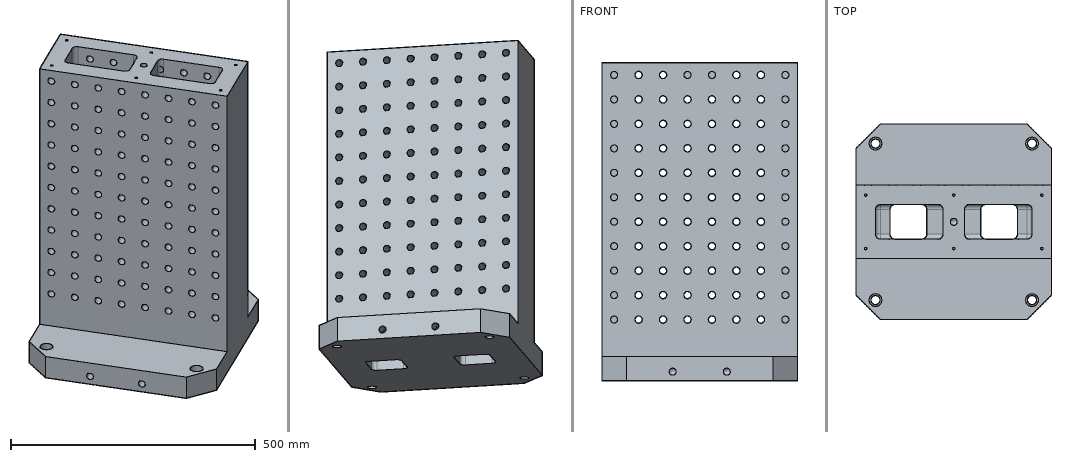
import cadquery as cq
import math

plate_size = 400.0
plate_height = 50.0
plate_chamfer = 50.0

bolt_offset = 160.0
bolt_diameter = 18.0
counterbore_diameter = 26.0
counterbore_depth = 18.0

tap_diameter = 14.0
tap_depth = 30.0
drill_point_angle = 118
lifting_hole_offset = 55.0
lifting_hole_height = 19.0

total_height = 650.0
column_depth = 150.0

cavity_depth = 70.0
cavity_radius = 10.0
cavity_floor = plate_height
mouth_inner_x = 22.0
mouth_outer_x = 160.0
bridge_height = 45.0
cavity_ceiling = total_height - bridge_height

window_inner_x = 55.0
window_outer_x = 130.0

grid_columns = 8
grid_rows = 11
grid_pitch = plate_size / grid_columns
grid_top_margin = grid_pitch / 2
grid_hole_depth = (column_depth - cavity_depth) / 2

pin_diameter = 5.0
pin_depth = 13.0
pin_offset_x = 180.0
pin_offset_y = 54.5


def block(x_start, x_end, depth, z_start, z_end):
    """Sharp-edged box, centred on Y."""
    base = cq.Workplane("XY", origin=((x_start + x_end) / 2, 0, z_start))
    return base.rect(abs(x_end - x_start), depth).extrude(z_end - z_start)


def tapped_hole(start, direction):
    """Blind hole with a conical drill point, to be cut from the body."""
    radius = tap_diameter / 2
    point_length = radius / math.tan(math.radians(drill_point_angle / 2))
    start = cq.Vector(*start)
    direction = cq.Vector(*direction)
    point_start = start + direction * tap_depth
    shaft = cq.Solid.makeCylinder(radius, tap_depth, start, direction)
    point = cq.Solid.makeCone(radius, 0, point_length, point_start, direction)
    return cq.Workplane(shaft.fuse(point))


def make_body():
    half = plate_size / 2
    plate = block(-half, half, plate_size, 0, plate_height)
    column = block(-half, half, column_depth, 0, total_height)
    return plate.edges("|Z").chamfer(plate_chamfer).union(column)


def cut_cavity(body):
    chamber = block(-mouth_outer_x, mouth_outer_x, cavity_depth, cavity_floor, cavity_ceiling)
    body = body.cut(chamber.edges().fillet(cavity_radius))

    mouth_bottom = cavity_ceiling - cavity_radius
    window_top = cavity_floor + cavity_radius
    for side in (-1, 1):
        mouth = block(side * mouth_inner_x, side * mouth_outer_x, cavity_depth, mouth_bottom, total_height)
        window = block(side * window_inner_x, side * window_outer_x, cavity_depth, 0, window_top)
        for opening in (mouth, window):
            body = body.cut(opening.edges("|Z").fillet(cavity_radius))
    return body


def cut_bolt_holes(body):
    centres = cq.Workplane("XY").rarray(2 * bolt_offset, 2 * bolt_offset, 2, 2)
    shafts = centres.circle(bolt_diameter / 2).extrude(plate_height)
    counterbores = centres.circle(counterbore_diameter / 2).extrude(counterbore_depth)
    counterbores = counterbores.translate((0, 0, plate_height - counterbore_depth))
    return body.cut(shafts).cut(counterbores)


def cut_lifting_holes(body):
    for side in (-1, 1):
        for x in (-lifting_hole_offset, lifting_hole_offset):
            start = (x, side * plate_size / 2, lifting_hole_height)
            body = body.cut(tapped_hole(start, (0, -side, 0)))
    return body


def cut_grid_holes(body):
    grid_centre_z = total_height - grid_top_margin - (grid_rows - 1) * grid_pitch / 2
    for side in (-1, 1):
        face = cq.Workplane("XZ", origin=(0, side * column_depth / 2, grid_centre_z))
        centres = face.rarray(grid_pitch, grid_pitch, grid_columns, grid_rows)
        body = body.cut(centres.circle(tap_diameter / 2).extrude(side * grid_hole_depth))
    return body


def cut_top_holes(body):
    top = cq.Workplane("XY", origin=(0, 0, total_height))
    pin_centres = top.rarray(pin_offset_x, 2 * pin_offset_y, 3, 2)
    pins = pin_centres.circle(pin_diameter / 2).extrude(-pin_depth)
    return body.cut(pins).cut(tapped_hole((0, 0, total_height), (0, 0, -1)))


body = make_body()
body = cut_cavity(body)
body = cut_bolt_holes(body)
body = cut_lifting_holes(body)
body = cut_grid_holes(body)
result = cut_top_holes(body)